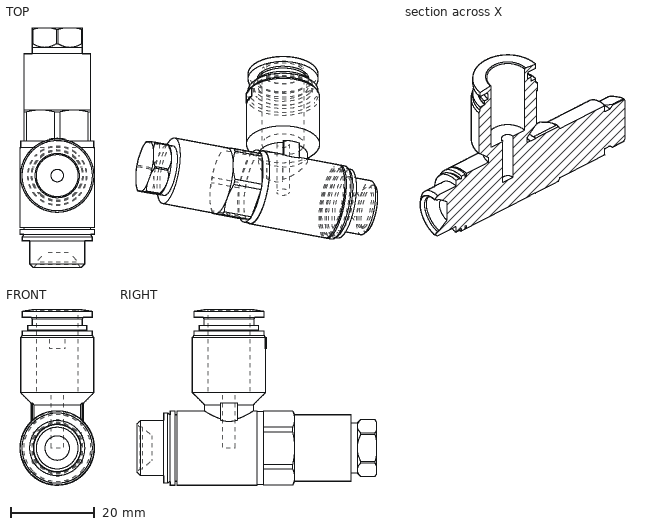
import cadquery as cq
import math


body_dia = 17.8
rim_dia = 17.5
sleeve_dia = 16.0
seal_groove_dia = 16.0
collar_dia = 16.8
spigot_dia = 13.15
nut_neck_dia = 12.0

tip_y = -22.0
overall_length = 57.25
nut_end_y = tip_y + overall_length
collar_front_y = -15.6
collar_chamfer_y = -14.65
flange_front_y = -14.0
flange_back_y = -12.8
body_front_y = -12.4
rim_front_y = 6.7
hex_front_y = 8.3
hex_back_y = 15.7
sleeve_back_y = 29.15
nut_front_y = 30.65

hex_flats = sleeve_dia
hex_corner_dia = 17.75
hex_chamfer = 0.45
nut_flats = nut_neck_dia
nut_corner_dia = 13.7
nut_front_chamfer = (nut_corner_dia - nut_neck_dia) / 2
nut_end_chamfer = 0.4
nut_end_dia = 12.35

spigot_chamfer = 0.85
mouth_dia = 11.2
mouth_throat_dia = 9.95
mouth_floor_dia = 5.85
mouth_chamfer_depth = 0.8
mouth_throat_depth = 1.3
mouth_depth = 3.65

branch_neck_dia = 11.75
branch_dia = 17.5
branch_lip_dia = 16.8
release_ring_dia = 14.2
release_ring_bottom_dia = 13.85
release_neck_dia = 12.0
release_neck_top_dia = 12.35
cap_dia = 16.8
bore_dia = 10.0
bore_mouth_dia = 10.6
pilot_dia = 3.0

branch_bottom_z = 13.2
neck_top_z = branch_bottom_z - (branch_dia - branch_neck_dia) / 2
branch_shoulder_z = 26.35
branch_lip_z = 26.9
branch_top_z = 28.0
release_ring_bevel_z = 28.15
release_ring_top_z = 29.25
release_neck_bevel_z = 30.8
cap_bottom_z = 31.2
cap_edge_z = 32.65
overall_height = 42.0
cap_top_z = overall_height - body_dia / 2
bore_mouth_depth = 0.3
bore_floor_z = branch_bottom_z

rib_dia = 12.5
rib_width = 4.0
rib_top_z = branch_bottom_z - (branch_dia - rib_dia) / 2
pad_width = 3.65
pad_height = 2.5
pad_rise = 0.2


def turned_z(bottom, top, bottom_dia, top_dia=None):
    """Cylinder or cone on the Z axis between two heights."""
    top_dia = bottom_dia if top_dia is None else top_dia
    outline = [(0, bottom), (bottom_dia / 2, bottom), (top_dia / 2, top), (0, top)]
    return cq.Workplane("XZ").polyline(outline).close().revolve(360, (0, 0), (0, 1))


def turned_y(front, back, front_dia, back_dia=None):
    """Cylinder or cone on the Y axis between two places."""
    return turned_z(front, back, front_dia, back_dia).rotate((0, 0, 0), (1, 0, 0), -90)


def hex_prism(front, back, flats):
    """Hexagonal prism along Y with flats facing +X and -X."""
    across_corners = flats / math.cos(math.radians(30))
    prism = cq.Workplane("XZ", origin=(0, front, 0)).polygon(6, across_corners).extrude(front - back)
    return prism.rotate((0, 0, 0), (0, 1, 0), 30)


def wrench_hex():
    chamfer_y = hex_back_y - hex_chamfer
    envelope = turned_y(hex_front_y, chamfer_y, hex_corner_dia)
    envelope = envelope.union(turned_y(chamfer_y, hex_back_y, hex_corner_dia, sleeve_dia))
    return hex_prism(hex_front_y, hex_back_y, hex_flats).intersect(envelope)


def end_nut():
    front_y = nut_front_y + nut_front_chamfer
    back_y = nut_end_y - nut_end_chamfer
    envelope = turned_y(nut_front_y, front_y, nut_neck_dia, nut_corner_dia)
    envelope = envelope.union(turned_y(front_y, back_y, nut_corner_dia))
    envelope = envelope.union(turned_y(back_y, nut_end_y, nut_corner_dia, nut_end_dia))
    return hex_prism(nut_front_y, nut_end_y, nut_flats).intersect(envelope)


def main_barrel():
    spigot_edge_y = tip_y + spigot_chamfer
    barrel = turned_y(tip_y, spigot_edge_y, spigot_dia - 2 * spigot_chamfer, spigot_dia)
    barrel = barrel.union(turned_y(spigot_edge_y, collar_front_y, spigot_dia))
    barrel = barrel.union(turned_y(collar_front_y, collar_chamfer_y, collar_dia))
    barrel = barrel.union(turned_y(collar_chamfer_y, flange_front_y, collar_dia, seal_groove_dia))
    barrel = barrel.union(turned_y(flange_front_y, flange_back_y, body_dia))
    barrel = barrel.union(turned_y(flange_back_y, body_front_y, seal_groove_dia))
    barrel = barrel.union(turned_y(body_front_y, rim_front_y, body_dia))
    barrel = barrel.union(turned_y(rim_front_y, hex_front_y, rim_dia))
    barrel = barrel.union(wrench_hex())
    barrel = barrel.union(turned_y(hex_back_y, sleeve_back_y, sleeve_dia))
    barrel = barrel.union(turned_y(sleeve_back_y, nut_front_y, nut_neck_dia))
    return barrel.union(end_nut())


def branch():
    stem = turned_z(0, neck_top_z, branch_neck_dia)
    stem = stem.union(turned_z(neck_top_z, branch_bottom_z, branch_neck_dia, branch_dia))
    stem = stem.union(turned_z(branch_bottom_z, branch_shoulder_z, branch_dia))
    stem = stem.union(turned_z(branch_shoulder_z, branch_lip_z, branch_dia, branch_lip_dia))
    stem = stem.union(turned_z(branch_lip_z, branch_top_z, branch_lip_dia))
    stem = stem.union(
        turned_z(branch_top_z, release_ring_bevel_z, release_ring_bottom_dia, release_ring_dia)
    )
    stem = stem.union(turned_z(release_ring_bevel_z, release_ring_top_z, release_ring_dia))
    stem = stem.union(turned_z(release_ring_top_z, release_neck_bevel_z, release_neck_dia))
    stem = stem.union(
        turned_z(release_neck_bevel_z, cap_bottom_z, release_neck_dia, release_neck_top_dia)
    )
    stem = stem.union(turned_z(cap_bottom_z, cap_edge_z, cap_dia))
    return stem.union(turned_z(cap_edge_z, cap_top_z, cap_dia, bore_mouth_dia))


def neck_ribs():
    """Rounded ribs on the +X and -X sides of the branch neck."""
    slab = cq.Workplane("XY").box(rib_dia, rib_width, rib_top_z, centered=(True, True, False))
    return slab.intersect(turned_z(0, rib_top_z, rib_dia))


def branch_pad():
    """Thin pad wrapped on the +Y side of the branch, just under its shoulder."""
    bottom_z = branch_shoulder_z - pad_height
    wrap = turned_z(bottom_z, branch_shoulder_z, branch_dia + 2 * pad_rise)
    block = cq.Workplane("XY", origin=(0, 0, bottom_z)).box(
        pad_width, branch_dia, pad_height, centered=(True, False, False)
    )
    return wrap.intersect(block)


def spigot_mouth():
    chamfer_y = tip_y + mouth_chamfer_depth
    throat_y = tip_y + mouth_throat_depth
    mouth = turned_y(tip_y, chamfer_y, mouth_dia, mouth_throat_dia)
    mouth = mouth.union(turned_y(chamfer_y, throat_y, mouth_throat_dia))
    return mouth.union(turned_y(throat_y, tip_y + mouth_depth, mouth_throat_dia, mouth_floor_dia))


def branch_bore():
    """Tube socket with a small blind pilot hole reaching the barrel axis."""
    chamfer_z = cap_top_z - bore_mouth_depth
    bore = turned_z(0, bore_floor_z, pilot_dia)
    bore = bore.union(turned_z(bore_floor_z, chamfer_z, bore_dia))
    return bore.union(turned_z(chamfer_z, cap_top_z, bore_dia, bore_mouth_dia))


result = main_barrel().union(branch()).union(neck_ribs()).union(branch_pad())
result = result.cut(spigot_mouth()).cut(branch_bore())